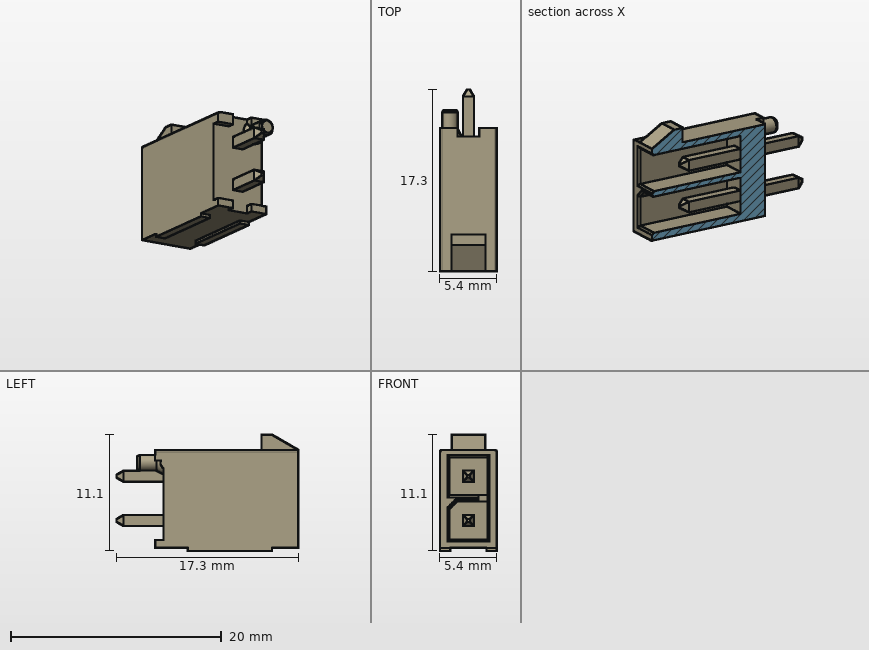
import cadquery as cq


housing_width = 5.4
housing_height = 9.3
housing_length = 13.6
top_edge_break = 0.2

recess_depth = 0.8
recess_gap_width = 2.05
upper_standoff_height = 1.0
lower_standoff_height = 0.75
recess_floor_y = housing_length - recess_depth

pin_pitch = 4.2
pin_mid_z = 4.7
lower_pin_z = pin_mid_z - pin_pitch / 2
upper_pin_z = pin_mid_z + pin_pitch / 2
cavity_size = 3.6
cavity_depth = 10.0
cavity_half = cavity_size / 2
mouth_lead_in = 0.2
key_chamfer = 0.7

divider_end_x = 0.97
divider_gap_depth = 8.0

pin_thickness = 1.07
pin_tip_size = 0.27
pin_taper_length = 0.68
pin_front_y = 3.5
pin_rear_y = 17.26

peg_diameter = 1.5
peg_x = -1.75
peg_z = 8.08
peg_end_y = 15.3
peg_end_chamfer_radial = 0.15
peg_end_chamfer_length = 0.25
peg_base_radius = 1.1
peg_base_length = 0.68

latch_width = 3.2
latch_height = 1.45
latch_length = 3.5
latch_flat_length = 1.0

rail_width = 1.0
rail_height = 0.3
rail_length = 8.0
rail_front_y = 2.5


def box(x_min, x_max, y_min, y_max, z_min, z_max):
    """Axis-aligned box given by its limits."""
    size = (x_max - x_min, y_max - y_min, z_max - z_min)
    return cq.Workplane("XY").box(*size, centered=False).translate((x_min, y_min, z_min))


def section_plane(y):
    """Plane at the given Y whose local axes are X and Z; its normal points to -Y."""
    return cq.Workplane("XZ", origin=(0, y, 0))


def make_housing():
    half_width = housing_width / 2
    body = box(-half_width, half_width, 0, housing_length, 0, housing_height)
    body = body.edges("|Y and >Z").fillet(top_edge_break)
    side_recess = box(
        -half_width, half_width, recess_floor_y, housing_length,
        lower_standoff_height, housing_height - upper_standoff_height,
    )
    middle_recess = box(
        -recess_gap_width / 2, recess_gap_width / 2, recess_floor_y, housing_length, 0, housing_height
    )
    return body.cut(side_recess).cut(middle_recess)


def cavity_outline(pin_z, offset, keyed):
    """Square around a pin, grown by offset; a keyed one has its upper -X corner cut at 45 degrees."""
    half = cavity_half + offset
    points = [(-half, pin_z - half), (half, pin_z - half), (half, pin_z + half)]
    if keyed:
        corner_cut = key_chamfer + offset * (2 - 2 ** 0.5)
        points += [(corner_cut - half, pin_z + half), (-half, pin_z + half - corner_cut)]
    else:
        points.append((-half, pin_z + half))
    return points


def make_cavity(pin_z, keyed):
    pocket = section_plane(0).polyline(cavity_outline(pin_z, 0, keyed)).close().extrude(-cavity_depth)
    lead_in = (
        section_plane(0)
        .polyline(cavity_outline(pin_z, mouth_lead_in, keyed)).close()
        .workplane(offset=-mouth_lead_in)
        .polyline(cavity_outline(pin_z, 0, keyed)).close()
        .loft(ruled=True)
    )
    return pocket.union(lead_in)


def make_divider_gap():
    """Opening past the divider, including the lead-in of the +X wall."""
    outline = [
        (divider_end_x, 0),
        (cavity_half + mouth_lead_in, 0),
        (cavity_half, mouth_lead_in),
        (cavity_half, divider_gap_depth),
        (divider_end_x, divider_gap_depth),
    ]
    bottom = lower_pin_z + cavity_half
    top = upper_pin_z - cavity_half
    return cq.Workplane("XY", origin=(0, 0, bottom)).polyline(outline).close().extrude(top - bottom)


def make_pin(pin_z):
    """Square pin with a blunt pyramid at both ends."""
    def taper(tip_y, shoulder_y):
        return (
            section_plane(tip_y).center(0, pin_z).rect(pin_tip_size, pin_tip_size)
            .workplane(offset=tip_y - shoulder_y).rect(pin_thickness, pin_thickness)
            .loft(ruled=True)
        )

    front_shoulder_y = pin_front_y + pin_taper_length
    rear_shoulder_y = pin_rear_y - pin_taper_length
    shank = (
        section_plane(front_shoulder_y).center(0, pin_z).rect(pin_thickness, pin_thickness)
        .extrude(front_shoulder_y - rear_shoulder_y)
    )
    return shank.union(taper(pin_front_y, front_shoulder_y)).union(taper(pin_rear_y, rear_shoulder_y))


def make_peg():
    """Turned peg with a conical base, trimmed flush with the -X side of the housing."""
    radius = peg_diameter / 2
    profile = [
        (0, recess_floor_y),
        (peg_base_radius, recess_floor_y),
        (radius, recess_floor_y + peg_base_length),
        (radius, peg_end_y - peg_end_chamfer_length),
        (radius - peg_end_chamfer_radial, peg_end_y),
        (0, peg_end_y),
    ]
    peg = cq.Workplane("XY").polyline(profile).close().revolve(360, (0, 0, 0), (0, 1, 0))
    peg = peg.translate((peg_x, 0, peg_z))
    half_width = housing_width / 2
    return peg.intersect(box(-half_width, half_width, recess_floor_y, peg_end_y, 0, housing_height))


def make_latch():
    """Ramp rising from the mating face to a flat top."""
    profile = [
        (0, housing_height),
        (latch_length - latch_flat_length, housing_height + latch_height),
        (latch_length, housing_height + latch_height),
        (latch_length, housing_height),
    ]
    return cq.Workplane("YZ").polyline(profile).close().extrude(latch_width / 2, both=True)


def make_rail(x_min):
    return box(x_min, x_min + rail_width, rail_front_y, rail_front_y + rail_length, -rail_height, 0)


result = make_housing()
result = result.cut(make_cavity(lower_pin_z, keyed=True))
result = result.cut(make_cavity(upper_pin_z, keyed=False))
result = result.cut(make_divider_gap())
for pin_z in (lower_pin_z, upper_pin_z):
    result = result.union(make_pin(pin_z))
for rail_x in (-housing_width / 2, housing_width / 2 - rail_width):
    result = result.union(make_rail(rail_x))
result = result.union(make_peg())
result = result.union(make_latch())